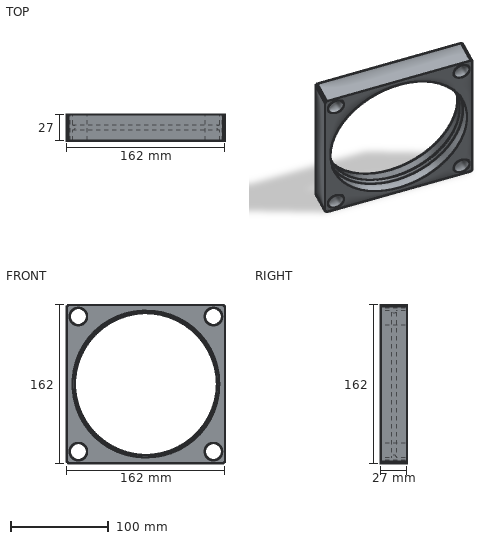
import cadquery as cq

side = 162.0
thickness = 27.0
corner_chamfer = 2.0

bore_diameter = 150.0
bead_radius = 2.5

hole_diameter = 17.5
hole_spacing = 138.0


def make_plate():
    """Square plate with chamfered corners, centred on the origin."""
    plate = cq.Workplane("XY").box(side, thickness, side)
    return plate.edges("|Y").chamfer(corner_chamfer)


def make_through_cutter(diameter, x=0.0, z=0.0):
    """Cylinder along Y, as long as the plate is thick."""
    start = cq.Workplane("XZ", origin=(x, thickness / 2, z))
    return start.circle(diameter / 2).extrude(thickness)


def make_bead():
    """Ring of round section centred on the bore wall; half of it stands proud."""
    section = cq.Workplane("XY").center(bore_diameter / 2, 0).circle(bead_radius)
    return section.revolve(360, (-bore_diameter / 2, 0, 0), (-bore_diameter / 2, 1, 0))


result = make_plate()

bore_cutter = make_through_cutter(bore_diameter).cut(make_bead())
result = result.cut(bore_cutter)

for x_sign in (-1, 1):
    for z_sign in (-1, 1):
        hole_x = x_sign * hole_spacing / 2
        hole_z = z_sign * hole_spacing / 2
        result = result.cut(make_through_cutter(hole_diameter, hole_x, hole_z))